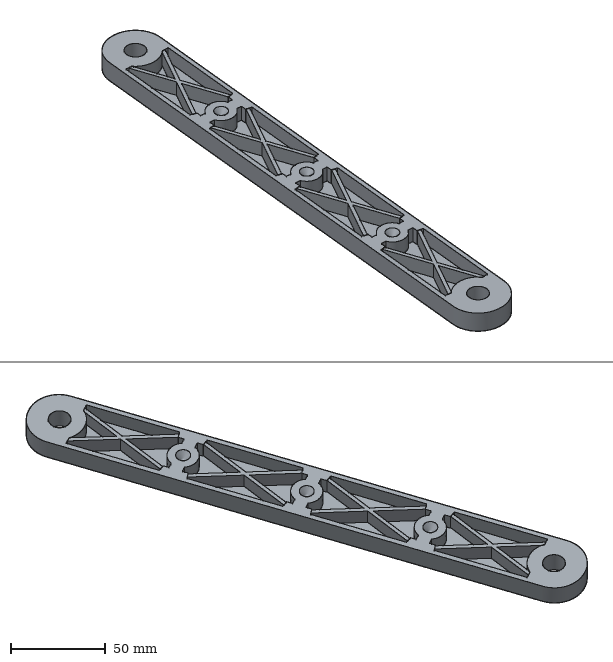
import cadquery as cq
import math

length = 315.0
width = 35.0
thickness = 12.0
corner_radius = 17.0
hole_pitch = (length - width) / 4

end_hole_diameter = 12.0
boss_dimple_diameter = 8.0
boss_dimple_depth = 4.7

floor_thickness = 2.8
rim_width = 2.8
web_width = 7.5
gusset_rim_length = 15.8
gusset_tip_length = 14.2
gusset_width = 3.8
end_boss_radius = 14.2
boss_radius = 8.5
end_wall_offset = 9.5

rib_width = 2.2
rib_rise = 31.2
rib_drop = 0.3

end_hole_x = 2 * hole_pitch
boss_xs = [-hole_pitch, 0.0, hole_pitch]
bay_xs = [(bay - 1.5) * hole_pitch for bay in range(4)]
pocket_width = width - 2 * rim_width
pocket_end_x = end_hole_x - end_wall_offset
pocket_depth = thickness - floor_thickness
rib_angle = math.degrees(math.atan2(rib_rise, hole_pitch))


def block(x_size, y_size, x, y, height=pocket_depth):
    """Block standing on the pocket floor, centred at x, y."""
    return (
        cq.Workplane("XY", origin=(x, y, floor_thickness))
        .box(x_size, y_size, height, centered=(True, True, False))
    )


def post(radius, x):
    """Round post from the pocket floor to the top face."""
    return cq.Workplane("XY", origin=(x, 0, floor_thickness)).circle(radius).extrude(pocket_depth)


def boss_with_web(x):
    """Round boss on a cross web that widens where it meets the side rims."""
    solid = post(boss_radius, x).union(block(web_width, pocket_width, x, 0))
    rim_y = pocket_width / 2
    tip_y = rim_y - gusset_width
    for side in (-1, 1):
        gusset = (
            cq.Workplane("XY", origin=(x, 0, floor_thickness))
            .polyline([
                (-gusset_rim_length / 2, side * rim_y),
                (gusset_rim_length / 2, side * rim_y),
                (gusset_tip_length / 2, side * tip_y),
                (-gusset_tip_length / 2, side * tip_y),
            ])
            .close()
            .extrude(pocket_depth)
        )
        solid = solid.union(gusset)
    return solid


def cross_ribs(x):
    """Two diagonal ribs, just below the top face, that cross at the middle of a bay."""
    rib_length = math.hypot(hole_pitch, rib_rise)
    rib = block(rib_length, rib_width, 0, 0, pocket_depth - rib_drop)
    rising = rib.rotate((0, 0, 0), (0, 0, 1), rib_angle)
    falling = rib.rotate((0, 0, 0), (0, 0, 1), -rib_angle)
    return rising.union(falling).translate((x, 0, 0))


def dimple(x):
    """Conical dimple that narrows to a point below the top face."""
    profile = (
        cq.Workplane("XZ")
        .moveTo(0, thickness)
        .lineTo(boss_dimple_diameter / 2, thickness)
        .lineTo(0, thickness - boss_dimple_depth)
        .close()
    )
    return profile.revolve(360, (0, 0, 0), (0, 1, 0)).translate((x, 0, 0))


recess = block(2 * pocket_end_x, pocket_width, 0, 0)
for end_x in (-end_hole_x, end_hole_x):
    recess = recess.cut(post(end_boss_radius, end_x))
for boss_x in boss_xs:
    recess = recess.cut(boss_with_web(boss_x))
for bay_x in bay_xs:
    recess = recess.cut(cross_ribs(bay_x))

bar = (
    cq.Workplane("XY")
    .box(length, width, thickness, centered=(True, True, False))
    .edges("|Z")
    .fillet(corner_radius)
)
result = bar.cut(recess)
for boss_x in boss_xs:
    result = result.cut(dimple(boss_x))
end_holes = (
    cq.Workplane("XY")
    .pushPoints([(-end_hole_x, 0), (end_hole_x, 0)])
    .circle(end_hole_diameter / 2)
    .extrude(thickness)
)
result = result.cut(end_holes)